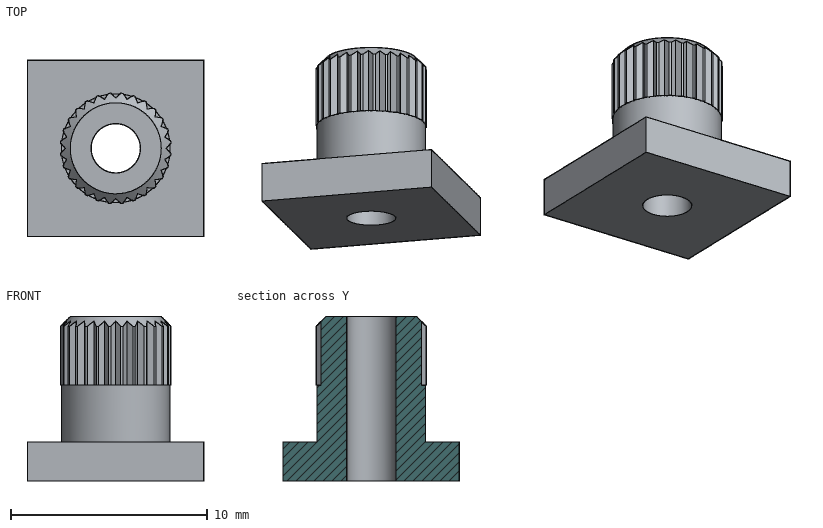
import cadquery as cq
import math

flange_side = 9.0
flange_height = 2.0

total_height = 8.4
neck_diameter = 5.55
head_diameter = 5.65
head_height = 3.5
head_chamfer = 0.5
head_bottom = total_height - head_height

groove_count = 28
groove_root_radius = 2.565
tooth_tip_width = 0.13

bore_diameter = 2.5


def cylinder(diameter, bottom, height):
    return cq.Workplane("XY").workplane(offset=bottom).circle(diameter / 2).extrude(height)


def make_flange():
    return cq.Workplane("XY").box(flange_side, flange_side, flange_height, centered=(True, True, False))


def knurl_outline():
    """Alternate flat tooth tips with sharp groove roots; one root lies on +X."""
    tip_radius = head_diameter / 2
    pitch = 2 * math.pi / groove_count
    half_tip = math.asin(tooth_tip_width / head_diameter)
    points = []
    for groove in range(groove_count):
        root_angle = groove * pitch
        tip_angle = root_angle + pitch / 2
        corners = [
            (groove_root_radius, root_angle),
            (tip_radius, tip_angle - half_tip),
            (tip_radius, tip_angle + half_tip),
        ]
        points += [(r * math.cos(a), r * math.sin(a)) for r, a in corners]
    return points


def make_head():
    head_plane = cq.Workplane("XY").workplane(offset=head_bottom)
    teeth = head_plane.polyline(knurl_outline()).close().extrude(head_height)
    chamfered_blank = cylinder(head_diameter, head_bottom, head_height).faces(">Z").chamfer(head_chamfer)
    return teeth.intersect(chamfered_blank)


neck = cylinder(neck_diameter, flange_height, head_bottom - flange_height)
bore = cylinder(bore_diameter, 0, total_height)

result = make_flange().union(neck).union(make_head()).cut(bore)